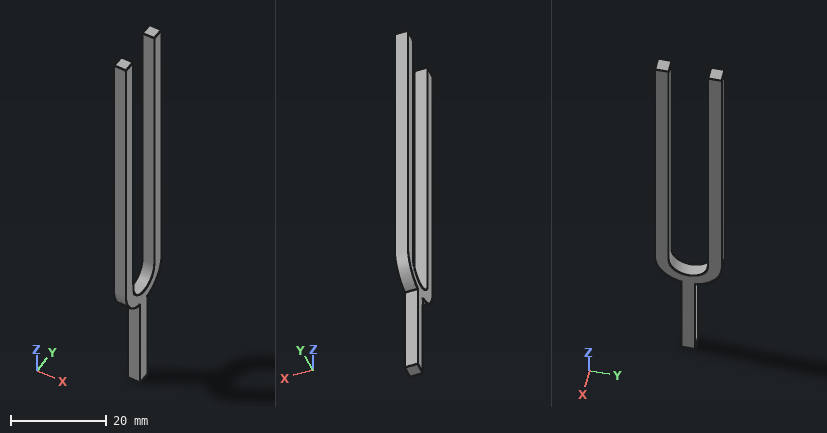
import cadquery as cq
import math

bar = 3.0
fork_width = 14.4
prong_length = 66.7
stem_length = 23.0

outer_radius = fork_width / 2
inner_radius = outer_radius - bar

bend_height = stem_length + math.sqrt(outer_radius**2 - (bar / 2) ** 2)
total_height = bend_height + prong_length


def make_fork():
    """U-shaped bar lying in the YZ plane: two prongs joined by a half-round bend."""
    return (
        cq.Workplane("YZ")
        .moveTo(-outer_radius, total_height)
        .lineTo(-outer_radius, bend_height)
        .threePointArc((0, bend_height - outer_radius), (outer_radius, bend_height))
        .lineTo(outer_radius, total_height)
        .lineTo(inner_radius, total_height)
        .lineTo(inner_radius, bend_height)
        .threePointArc((0, bend_height - inner_radius), (-inner_radius, bend_height))
        .lineTo(-inner_radius, total_height)
        .close()
        .extrude(bar / 2, both=True)
    )


def make_stem():
    """Square stem rising from Z = 0 to the middle of the bend's thickness."""
    stem_top = bend_height - (outer_radius + inner_radius) / 2
    return cq.Workplane("XY").rect(bar, bar).extrude(stem_top)


result = make_fork().union(make_stem())